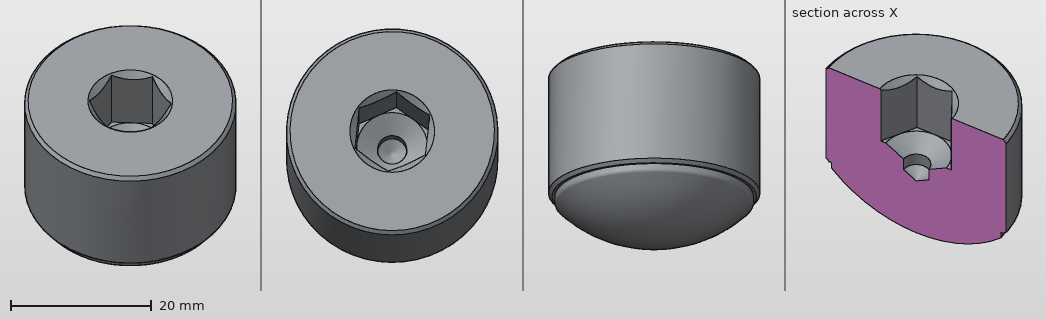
import cadquery as cq
import math

body_diameter = 30.0
total_height = 25.0
body_height = 18.18
rim_chamfer = 0.5

neck_diameter = 28.2
dome_height = 5.8
neck_edge_radius = 0.5

hex_across_flats = 10.05
hex_depth = 10.0
countersink_diameter = 12.0
countersink_half_angle = 45.0

floor_cone_half_angle = 60.0
centre_hole_diameter = 4.15
centre_hole_depth = 2.0
drill_tip_half_angle = 60.0


def cone_height(large_diameter, small_diameter, half_angle):
    """Height of a cone frustum from its end diameters and half angle."""
    return (large_diameter - small_diameter) / 2 / math.tan(math.radians(half_angle))


def make_body():
    body = cq.Workplane("XY").workplane(offset=total_height - body_height)
    return body.circle(body_diameter / 2).extrude(body_height).faces("<Z or >Z").chamfer(rim_chamfer)


def make_domed_neck():
    """Short cylinder below the body, ending in a spherical cap."""
    neck_radius = neck_diameter / 2
    sphere_radius = (neck_radius**2 + dome_height**2) / (2 * dome_height)
    mid_x = neck_radius / 2
    mid_z = sphere_radius - math.sqrt(sphere_radius**2 - mid_x**2)
    neck = (
        cq.Workplane("XZ")
        .threePointArc((mid_x, mid_z), (neck_radius, dome_height))
        .lineTo(neck_radius, total_height - body_height)
        .lineTo(0, total_height - body_height)
        .close()
        .revolve(360, (0, 0), (0, 1))
    )
    selection_margin = 0.03
    dome_edge = cq.selectors.BoxSelector(
        (-body_diameter, -body_diameter, dome_height - selection_margin),
        (body_diameter, body_diameter, dome_height + selection_margin),
    )
    return neck.edges("%CIRCLE").edges(dome_edge).fillet(neck_edge_radius)


def make_socket():
    """Hexagon cutter with its corners on the Y axis, plus the turned recesses."""
    hex_corner_diameter = hex_across_flats / math.cos(math.pi / 6)
    hexagon = (
        cq.Workplane("XY")
        .workplane(offset=total_height - hex_depth)
        .transformed(rotate=(0, 0, 90))
        .polygon(6, hex_corner_diameter)
        .extrude(hex_depth)
    )

    countersink_height = cone_height(countersink_diameter, 0, countersink_half_angle)
    countersink = (
        cq.Workplane("XZ")
        .moveTo(0, total_height)
        .lineTo(countersink_diameter / 2, total_height)
        .lineTo(0, total_height - countersink_height)
        .close()
        .revolve(360, (0, 0), (0, 1))
    )

    hex_bottom = total_height - hex_depth
    hole_radius = centre_hole_diameter / 2
    cone_bottom = hex_bottom - cone_height(hex_across_flats, centre_hole_diameter, floor_cone_half_angle)
    hole_bottom = cone_bottom - centre_hole_depth
    tip = hole_bottom - cone_height(centre_hole_diameter, 0, drill_tip_half_angle)
    floor = (
        cq.Workplane("XZ")
        .moveTo(0, hex_bottom)
        .lineTo(hex_across_flats / 2, hex_bottom)
        .lineTo(hole_radius, cone_bottom)
        .lineTo(hole_radius, hole_bottom)
        .lineTo(0, tip)
        .close()
        .revolve(360, (0, 0), (0, 1))
    )
    return hexagon.union(countersink).union(floor)


result = make_body().union(make_domed_neck()).cut(make_socket())